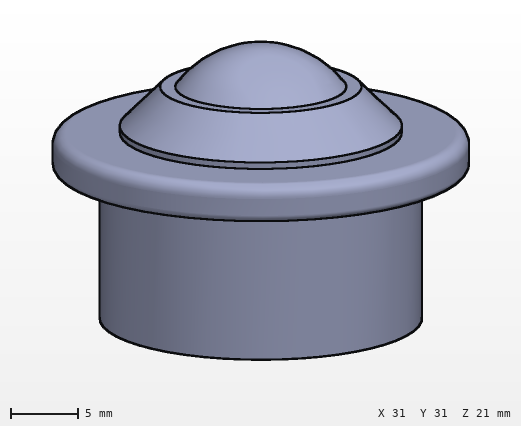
import cadquery as cq

total_height = 21.0
body_diameter = 24.0
body_height = 11.5
flange_diameter = 31.0
flange_thickness = 2.8
flange_top_fillet = 1.0
flange_bottom_fillet = 0.5
collar_diameter = 21.0
collar_rim_height = 0.5
collar_chamfer = 3.0
ball_radius = 7.95

flange_top = body_height + flange_thickness
collar_height = collar_rim_height + collar_chamfer


def disc(diameter, height, base):
    """Solid cylinder on the Z axis, standing at the given base height."""
    return cq.Workplane("XY").workplane(offset=base).circle(diameter / 2).extrude(height)


body = disc(body_diameter, body_height, 0)

flange = disc(flange_diameter, flange_thickness, body_height)
flange = flange.faces(">Z").edges().fillet(flange_top_fillet)
flange = flange.faces("<Z").edges().fillet(flange_bottom_fillet)

collar = disc(collar_diameter, collar_height, flange_top)
collar = collar.faces(">Z").edges().chamfer(collar_chamfer)

ball = cq.Workplane("XY").sphere(ball_radius).translate((0, 0, total_height - ball_radius))

result = body.union(flange).union(collar).union(ball)